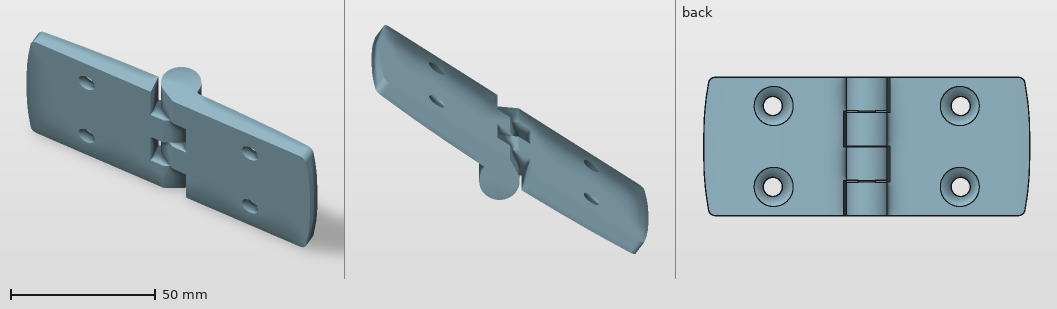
import cadquery as cq
import math

length = 113.0
height = 48.0
end_bow = 2.0
end_flat = 7.1
corner_radius = 2.5
crown_thickness = 7.5
end_thickness = 5.2

knuckle_radius = 7.0
axis_y = 9.0
root_fillet = 1.1
under_angle = 29.0
knuckle_gap = 0.6
middle_gap = 0.2
knuckle_height = (height - 2 * knuckle_gap - middle_gap) / 4
notch_foot_x = 7.0
pin_diameter = 6.0

hole_diameter = 6.5
countersink_diameter = 13.6
countersink_angle = 90.0
hole_x = 32.5
hole_z = 14.0

half_length = length / 2
half_height = height / 2
crown_drop = crown_thickness - end_thickness
crown_radius = (half_length**2 + crown_drop**2) / (2 * crown_drop)


def crown_y(x):
    """Height of the crowned face at a distance x from the hinge axis."""
    return crown_thickness - crown_radius + math.sqrt(crown_radius**2 - x**2)


fillet_to_axis = knuckle_radius + root_fillet
fillet_x = math.sqrt(fillet_to_axis**2 - (crown_thickness + root_fillet - axis_y) ** 2)
fillet_y = crown_y(fillet_x) + root_fillet
root_x = fillet_x
root_y = crown_y(root_x)


def extrude_profile(profile, bottom, top):
    """Extrude an XY profile between two heights along Z."""
    return profile.extrude(top - bottom).translate((0, 0, bottom))


def plate_outline():
    """Bowed end outline of the right leaf, solid through Y."""
    corner_x = half_length - end_bow
    flat_z = end_flat / 2
    bow_span = half_height - flat_z
    bow_radius = (bow_span**2 + end_bow**2) / (2 * end_bow)
    return (
        cq.Workplane("XZ")
        .moveTo(0, -half_height)
        .lineTo(corner_x, -half_height)
        .radiusArc((half_length, -flat_z), -bow_radius)
        .lineTo(half_length, flat_z)
        .radiusArc((corner_x, half_height), -bow_radius)
        .lineTo(0, half_height)
        .close()
        .extrude(-crown_thickness)
        .edges("|Y")
        .edges(">Z or <Z")
        .edges(">X")
        .fillet(corner_radius)
    )


def plate():
    """Right leaf without knuckles, ending at the slanted notch wall."""
    mid_x = (root_x + half_length) / 2
    section = (
        cq.Workplane("XY")
        .moveTo(notch_foot_x, 0)
        .lineTo(half_length, 0)
        .lineTo(half_length, end_thickness)
        .threePointArc((mid_x, crown_y(mid_x)), (root_x, root_y))
        .close()
    )
    return extrude_profile(section, -half_height, half_height).intersect(plate_outline())


def knuckle(bottom, top):
    """Rounded knuckle with its web down to the right leaf."""
    slope = math.radians(under_angle)
    under_x = -knuckle_radius * math.sin(slope)
    under_y = axis_y - knuckle_radius * math.cos(slope)
    foot_x = under_x + under_y / math.tan(slope)
    blend_x = fillet_x * knuckle_radius / fillet_to_axis
    blend_y = axis_y + (fillet_y - axis_y) * knuckle_radius / fillet_to_axis
    mid_angle = (math.atan2(blend_y - axis_y, blend_x) + math.pi / 2) / 2
    fillet_mid = (
        fillet_x - root_fillet * math.cos(mid_angle),
        fillet_y - root_fillet * math.sin(mid_angle),
    )
    section = (
        cq.Workplane("XY")
        .moveTo(notch_foot_x, 0)
        .lineTo(root_x, root_y)
        .threePointArc(fillet_mid, (blend_x, blend_y))
        .threePointArc((0, axis_y + knuckle_radius), (under_x, under_y))
        .lineTo(foot_x, 0)
        .close()
    )
    return extrude_profile(section, bottom, top)


def screw_hole(z):
    """Through hole with a countersink opening on the crowned face."""
    hole_radius = hole_diameter / 2
    sink_radius = countersink_diameter / 2
    taper = math.tan(math.radians(countersink_angle / 2))
    rim_y = crown_y(hole_x)
    sink_bottom = rim_y - (sink_radius - hole_radius) / taper
    top_radius = sink_radius + (crown_thickness - rim_y) * taper
    return (
        cq.Workplane("XY")
        .lineTo(hole_radius, 0)
        .lineTo(hole_radius, sink_bottom)
        .lineTo(top_radius, crown_thickness)
        .lineTo(0, crown_thickness)
        .close()
        .revolve(360, (0, 0, 0), (0, 1, 0))
        .translate((hole_x, 0, z))
    )


def right_leaf():
    leaf = plate()
    for top in (half_height, -middle_gap / 2):
        leaf = leaf.union(knuckle(top - knuckle_height, top))
    for z in (-hole_z, hole_z):
        leaf = leaf.cut(screw_hole(z))
    return leaf


def hinge_pin():
    """Pin joining all four knuckles, hidden inside the two outer ones."""
    pin_end = half_height - knuckle_height / 2
    section = cq.Workplane("XY").center(0, axis_y).circle(pin_diameter / 2)
    return extrude_profile(section, -pin_end, pin_end)


right = right_leaf()
left = right.rotate((0, 0, 0), (0, 1, 0), 180)
result = right.union(left).union(hinge_pin())